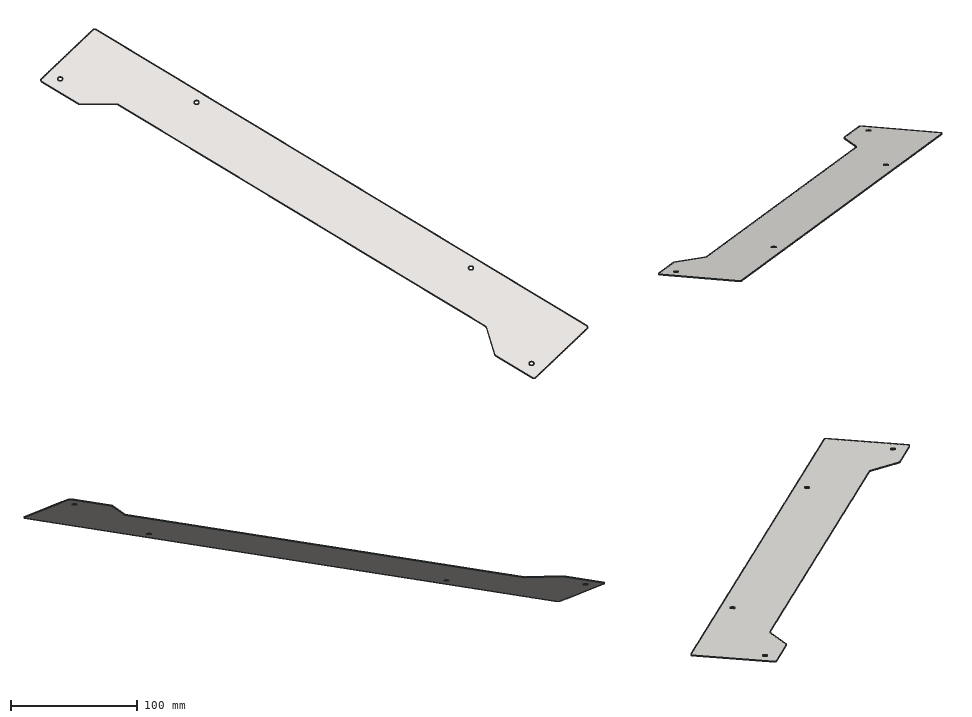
import cadquery as cq

length = 501.0
width = 69.5
thickness = 0.8
outer_corner_radius = 2.0

foot_length = 39.75
relief_depth = 19.0
slope_run = 24.0
relief_corner_radius = 2.0

hole_diameter = 4.0
rear_hole_spacing = 278.0
rear_hole_inset = 10.0
foot_hole_side_inset = 11.7
foot_hole_front_inset = 11.4

half_length = length / 2
half_width = width / 2


def make_plate():
    """Flat plate with rounded outer corners and a trapezoidal front relief."""
    foot_end = half_length - foot_length
    relief_end = foot_end - slope_run
    relief_y = relief_depth - half_width
    plate = (
        cq.Workplane("XY")
        .polyline([
            (-half_length, half_width),
            (-half_length, -half_width),
            (-foot_end, -half_width),
            (-relief_end, relief_y),
            (relief_end, relief_y),
            (foot_end, -half_width),
            (half_length, -half_width),
            (half_length, half_width),
        ])
        .close()
        .extrude(thickness)
    )
    outer_corners = plate.faces("<X or >X").edges("|Z")
    plate = outer_corners.fillet(outer_corner_radius)

    box_margin = 1.0
    relief_bends = cq.selectors.BoxSelector(
        (-foot_end - box_margin, -half_width - box_margin, -box_margin),
        (foot_end + box_margin, relief_y + box_margin, thickness + box_margin),
    )
    return plate.edges("|Z").edges(relief_bends).fillet(relief_corner_radius)


def cut_holes(plate):
    """Two through holes near the rear edge and one in each foot."""
    rear_x = rear_hole_spacing / 2
    rear_y = half_width - rear_hole_inset
    foot_x = half_length - foot_hole_side_inset
    foot_y = foot_hole_front_inset - half_width
    centers = []
    for side in (-1, 1):
        centers.append((side * rear_x, rear_y))
        centers.append((side * foot_x, foot_y))
    holes = cq.Workplane("XY").pushPoints(centers).circle(hole_diameter / 2).extrude(thickness)
    return plate.cut(holes)


result = cut_holes(make_plate())